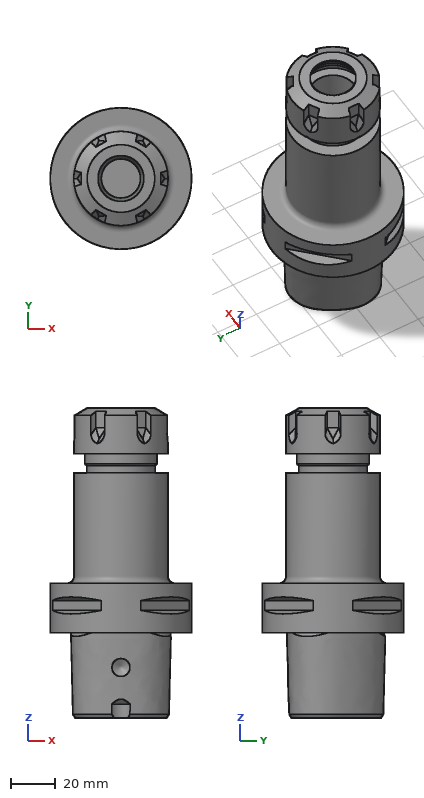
import cadquery as cq
import math

total_height = 138.0
shank_height = 38.0
flange_top = 60.0
body_top = 109.2
collar_bottom = 113.2
nut_bottom = 117.6

flange_radius = 63.0 / 2
body_radius = 21.0
body_fillet = 3.0
neck_radius = 15.3
collar_radius = 16.1
collar_chamfer = collar_radius - neck_radius
nut_radius = 21.0
nut_top_radius = 15.0
nut_chamfer_height = 3.3

polygon_radius = 22.0
lobe_height = 1.4
lobe_count = 3
lobe_direction = 90.0
outline_points = 36
shank_taper = 1 / 40
neck_height = 2.8
shank_chamfer_height = 1.7
shank_chamfer_width = 1.1
lobe_relief_radius = 22.4
lobe_relief_width = 1.4
lobe_relief_height = 2.3

side_hole_radius = 4.0
side_hole_tip_angle = 118.0
side_hole_tip_height = side_hole_radius / math.tan(math.radians(side_hole_tip_angle / 2))
side_hole_height = 22.5
side_hole_depth = 6.9

notch_radius = 5.0
notch_tip_height = 4.7
notch_depth = 6.2
notch_axis_distance = 22.5

groove_count = 4
groove_height = 50.1
groove_floor_distance = 27.6
groove_floor_width = 4.3
groove_mouth_width = 7.6

slot_count = 6
slot_floor_distance = 17.7
slot_floor_half_width = 2.6
slot_floor_bottom = 129.2
slot_tip_distance = 19.5
slot_tip_height = 124.2
slot_mouth_distance = 22.4
slot_mouth_half_width = 4.0
slot_mouth_arc_height = 124.3
slot_top = total_height + 1.4

mouth_radius = 10.2
mouth_depth = 0.5
throat_radius = 12.8
throat_angle = 30.0
throat_start_depth = mouth_depth + (throat_radius - mouth_radius) / math.tan(math.radians(throat_angle))
throat_end_depth = 6.5
cavity_radius = 14.9
cavity_depth = 10.9
seat_top_radius = 10.8
seat_bottom_radius = 8.7
seat_angle = 8.0
seat_depth = cavity_depth + (seat_top_radius - seat_bottom_radius) / math.tan(math.radians(seat_angle))


def turned_outside():
    """Flange, body, neck, collar and nut as one revolved profile."""
    fillet_middle = body_fillet * (1 - math.sqrt(0.5))
    return (
        cq.Workplane("XZ")
        .moveTo(0, shank_height)
        .lineTo(flange_radius, shank_height)
        .lineTo(flange_radius, flange_top)
        .lineTo(body_radius + body_fillet, flange_top)
        .threePointArc(
            (body_radius + fillet_middle, flange_top + fillet_middle),
            (body_radius, flange_top + body_fillet),
        )
        .lineTo(body_radius, body_top)
        .lineTo(neck_radius, body_top)
        .lineTo(neck_radius, collar_bottom - collar_chamfer)
        .lineTo(collar_radius, collar_bottom)
        .lineTo(collar_radius, nut_bottom)
        .lineTo(nut_radius, nut_bottom)
        .lineTo(nut_radius, total_height - nut_chamfer_height)
        .lineTo(nut_top_radius, total_height)
        .lineTo(0, total_height)
        .close()
        .revolve(360, (0, 0, 0), (0, 1, 0))
    )


def shank_outline(radius, height):
    """Closed three-lobed curve around the axis at the given height."""

    def point(index):
        angle = 2 * math.pi * index / outline_points
        lobe = lobe_height * math.cos(lobe_count * (angle - math.radians(lobe_direction)))
        return ((radius + lobe) * math.cos(angle), (radius + lobe) * math.sin(angle), height)

    points = [cq.Vector(*point(index)) for index in range(outline_points)]
    return cq.Wire.assembleEdges([cq.Edge.makeSpline(points, periodic=True)])


def shank():
    """Straight neck, tapered length and bottom chamfer, all three-lobed."""
    neck_bottom = shank_height - neck_height
    end_radius = polygon_radius - shank_taper * (neck_bottom - shank_chamfer_height)
    sections = [
        (end_radius - shank_chamfer_width, 0),
        (end_radius, shank_chamfer_height),
        (polygon_radius, neck_bottom),
        (polygon_radius, shank_height),
    ]
    outlines = [shank_outline(radius, height) for radius, height in sections]
    body = cq.Workplane("XY")
    for lower, upper in zip(outlines, outlines[1:]):
        body = body.union(cq.Workplane(cq.Solid.makeLoft([lower, upper], True)))
    return body


def lobe_relief():
    """Conical undercut that trims the lobes just below the flange."""
    outer = lobe_relief_radius + lobe_relief_width
    return (
        cq.Workplane("XZ")
        .moveTo(lobe_relief_radius, shank_height)
        .lineTo(outer, shank_height)
        .lineTo(outer, shank_height - lobe_relief_height)
        .close()
        .revolve(360, (0, 0, 0), (0, 1, 0))
    )


def pointed_hole(start, direction, radius, depth, tip_height):
    """Cylindrical cutter that ends in a cone."""
    axis = cq.Vector(*direction)
    shoulder = cq.Vector(*start) + axis * depth
    barrel = cq.Solid.makeCylinder(radius, depth, cq.Vector(*start), axis)
    tip = cq.Solid.makeCone(radius, 0, tip_height, shoulder, axis)
    return cq.Workplane(barrel).union(cq.Workplane(tip))


def gripper_groove():
    """Groove with flared flanks, facing +X."""
    mouth = flange_radius - groove_floor_distance
    length = 2 * flange_radius
    return (
        cq.Workplane("XZ", origin=(groove_floor_distance, length / 2, groove_height))
        .moveTo(0, -groove_floor_width / 2)
        .lineTo(mouth, -groove_mouth_width / 2)
        .lineTo(mouth, groove_mouth_width / 2)
        .lineTo(0, groove_floor_width / 2)
        .close()
        .extrude(length)
    )


def slot_rectangle(distance, half_width, bottom):
    """Cross-section of the straight upper part of a slot, in a plane facing +X."""
    corners = [(-half_width, slot_top), (-half_width, bottom), (half_width, bottom), (half_width, slot_top)]
    return cq.Wire.makePolygon([cq.Vector(distance, y, z) for y, z in corners], close=True)


def slot_mouth_half_disc():
    """Cross-section of the rounded slot bottom at the mouth, split at its lowest point."""
    radius = slot_mouth_half_width
    diagonal = radius * math.sqrt(0.5)

    def place(y, drop):
        return cq.Vector(slot_mouth_distance, y, slot_mouth_arc_height - drop)

    left, lowest, right = place(-radius, 0), place(0, radius), place(radius, 0)
    return cq.Wire.assembleEdges([
        cq.Edge.makeThreePointArc(left, place(-diagonal, diagonal), lowest),
        cq.Edge.makeThreePointArc(lowest, place(diagonal, diagonal), right),
        cq.Edge.makeLine(right, left),
    ])


def spanner_slot():
    """Slot facing +X: flat inner wall, then a sloping triangle that spreads into a round bottom."""
    inner = slot_rectangle(slot_floor_distance, slot_floor_half_width, slot_floor_bottom)
    outer = slot_rectangle(slot_mouth_distance, slot_mouth_half_width, slot_mouth_arc_height)
    upper = cq.Solid.makeLoft([inner, outer], True)

    triangle = cq.Wire.makePolygon(
        [
            cq.Vector(slot_floor_distance, -slot_floor_half_width, slot_floor_bottom),
            cq.Vector(slot_tip_distance, 0, slot_tip_height),
            cq.Vector(slot_floor_distance, slot_floor_half_width, slot_floor_bottom),
        ],
        close=True,
    )
    lower = cq.Solid.makeLoft([triangle, slot_mouth_half_disc()], True)
    return cq.Workplane(upper).union(cq.Workplane(lower))


def bore():
    """Sharp mouth over a widening nut cavity, then the blind collet seat."""
    profile = [
        (mouth_radius, 0),
        (mouth_radius, mouth_depth),
        (throat_radius, throat_start_depth),
        (throat_radius, throat_end_depth),
        (cavity_radius, throat_end_depth),
        (cavity_radius, cavity_depth),
        (seat_top_radius, cavity_depth),
        (seat_bottom_radius, seat_depth),
        (0, seat_depth),
    ]
    return (
        cq.Workplane("XZ")
        .moveTo(0, total_height)
        .polyline([(radius, total_height - depth) for radius, depth in profile], includeCurrent=True)
        .close()
        .revolve(360, (0, 0, 0), (0, 1, 0))
    )


def around_axis(cutter, index, count, first_angle=0.0):
    """Cutter turned to its place in an even ring about the tool axis."""
    return cutter.rotate((0, 0, 0), (0, 0, 1), first_angle + 360 * index / count)


side_hole = pointed_hole(
    start=(0, -polygon_radius, side_hole_height),
    direction=(0, 1, 0),
    radius=side_hole_radius,
    depth=lobe_height + side_hole_depth,
    tip_height=side_hole_tip_height,
)
notch = pointed_hole(
    start=(0, -notch_axis_distance, 0),
    direction=(0, 0, 1),
    radius=notch_radius,
    depth=notch_depth,
    tip_height=notch_tip_height,
)

result = turned_outside().union(shank().cut(lobe_relief()))
result = result.cut(bore()).cut(side_hole).cut(notch)

for index in range(groove_count):
    result = result.cut(around_axis(gripper_groove(), index, groove_count, 180 / groove_count))

for index in range(slot_count):
    result = result.cut(around_axis(spanner_slot(), index, slot_count))